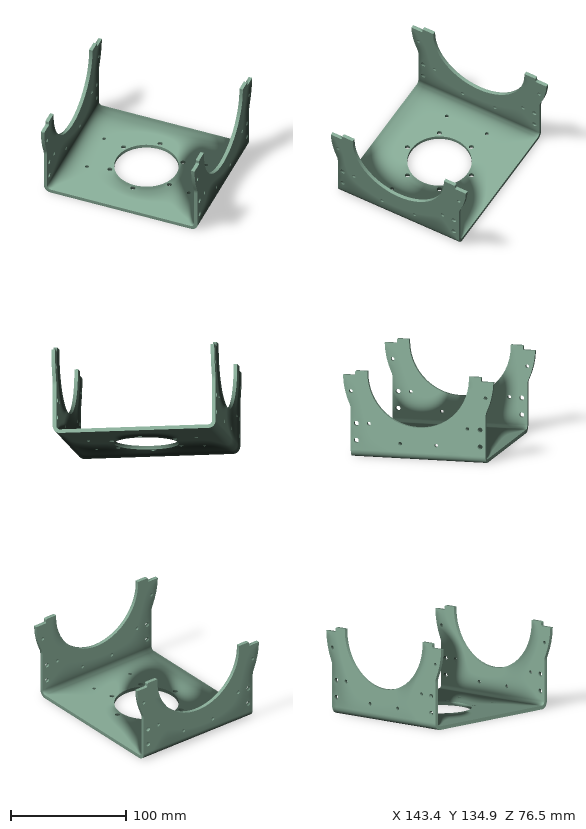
import cadquery as cq
import math

outer_width = 143.4
plate_length = 121.0
height = 76.5
thickness = 3.2
inner_bend_radius = 3.2
outer_bend_radius = inner_bend_radius + thickness

cradle_axis_z = 74.5
cradle_inner_radius = 45.5
cradle_outer_radius = 67.5
flare_blend_radius = 10.0

step_half_spacing = 56.5
step_depth = 4.0
step_z = height - step_depth
step_blend_radius = 1.0

small_hole_diameter = 3.24
bolt_hole_diameter = 4.3
cradle_hole_radius = 62.5
cradle_hole_angles = (15, 45, 75)
wall_bolt_edge_distance = 5.0
wall_bolt_heights = (15.0, 30.0)
base_opening_diameter = 56.0
base_bolt_circle_radius = 32.0
base_bolt_count = 6
base_small_hole_x = 47.5
base_small_hole_y = 20.0

half_length = plate_length / 2


def bent_channel():
    """U-shaped sheet, long enough in Y to contain the flared walls."""
    length = 2 * cradle_outer_radius
    inner_width = outer_width - 2 * thickness
    outside = (
        cq.Workplane("XY")
        .box(outer_width, length, height, centered=(True, True, False))
        .edges("|Y and <Z")
        .fillet(outer_bend_radius)
    )
    inside = (
        cq.Workplane("XY", origin=(0, 0, thickness))
        .box(inner_width, length, height, centered=(True, True, False))
        .edges("|Y and <Z")
        .fillet(inner_bend_radius)
    )
    return outside.cut(inside)


def along_x():
    """YZ workplane starting at the -X face of the part."""
    return cq.Workplane("YZ", origin=(-outer_width / 2, 0, 0))


def flare_edge_y(z):
    """Half length of the flared wall at height z."""
    return math.sqrt(cradle_outer_radius**2 - (z - cradle_axis_z) ** 2)


def side_profile():
    """Side silhouette of the walls, extruded across the full width."""
    blend_y = half_length + flare_blend_radius
    centre_distance = cradle_outer_radius + flare_blend_radius
    blend_z = cradle_axis_z - math.sqrt(centre_distance**2 - blend_y**2)
    flare_share = cradle_outer_radius / centre_distance
    flare_start_y = blend_y * flare_share
    flare_start_z = cradle_axis_z + (blend_z - cradle_axis_z) * flare_share
    tip_y = flare_edge_y(step_z)

    silhouette = (
        along_x()
        .moveTo(-half_length, 0)
        .lineTo(half_length, 0)
        .lineTo(half_length, blend_z)
        .radiusArc((flare_start_y, flare_start_z), flare_blend_radius)
        .radiusArc((tip_y, step_z), -cradle_outer_radius)
        .lineTo(step_half_spacing, step_z)
        .lineTo(step_half_spacing, height)
        .lineTo(-step_half_spacing, height)
        .lineTo(-step_half_spacing, step_z)
        .lineTo(-tip_y, step_z)
        .radiusArc((-flare_start_y, flare_start_z), -cradle_outer_radius)
        .radiusArc((-half_length, blend_z), flare_blend_radius)
        .close()
        .extrude(outer_width)
    )
    step_corners = cq.selectors.BoxSelector(
        (-outer_width, -step_half_spacing - step_blend_radius, step_z - step_blend_radius),
        (outer_width, step_half_spacing + step_blend_radius, height + step_blend_radius),
    )
    return silhouette.edges("|X").edges(step_corners).fillet(step_blend_radius)


def cradle_cut():
    """Half-round opening with straight sides up to the top of the walls."""
    return (
        along_x()
        .moveTo(-cradle_inner_radius, height)
        .lineTo(-cradle_inner_radius, cradle_axis_z)
        .threePointArc((0, cradle_axis_z - cradle_inner_radius), (cradle_inner_radius, cradle_axis_z))
        .lineTo(cradle_inner_radius, height)
        .close()
        .extrude(outer_width)
    )


def wall_holes():
    """Hole pattern through both walls, mirrored about the XZ plane."""
    ring_points = []
    bolt_points = []
    for side in (-1, 1):
        for angle in cradle_hole_angles:
            y = side * cradle_hole_radius * math.cos(math.radians(angle))
            z = cradle_axis_z - cradle_hole_radius * math.sin(math.radians(angle))
            ring_points.append((y, z))
        for z in wall_bolt_heights:
            bolt_points.append((side * (half_length - wall_bolt_edge_distance), z))
    ring = along_x().pushPoints(ring_points).circle(small_hole_diameter / 2).extrude(outer_width)
    bolts = along_x().pushPoints(bolt_points).circle(bolt_hole_diameter / 2).extrude(outer_width)
    return ring.union(bolts)


def base_holes():
    """Central opening, its bolt circle and four small holes through the base."""
    base = cq.Workplane("XY")
    opening = base.circle(base_opening_diameter / 2).extrude(thickness)
    bolts = (
        base.polarArray(base_bolt_circle_radius, 90, 360, base_bolt_count)
        .circle(bolt_hole_diameter / 2)
        .extrude(thickness)
    )
    small = (
        base.rarray(2 * base_small_hole_x, 2 * base_small_hole_y, 2, 2)
        .circle(small_hole_diameter / 2)
        .extrude(thickness)
    )
    return opening.union(bolts).union(small)


bracket = bent_channel().intersect(side_profile())
result = bracket.cut(cradle_cut()).cut(wall_holes()).cut(base_holes())